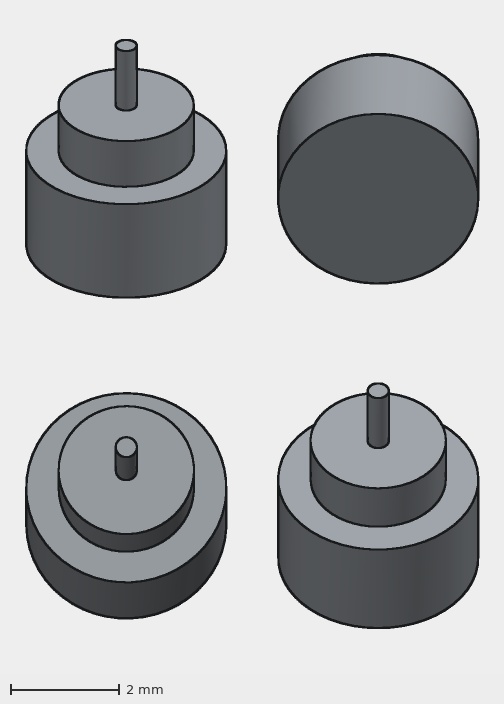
import cadquery as cq

total_height = 4.35
body_diameter = 3.7
body_height = 2.05
collar_diameter = 2.5
collar_height = 1.0
pin_diameter = 0.39
pin_height = total_height - body_height - collar_height


def add_cylinder(part, diameter, height):
    """Stack a centred cylinder on the top face of the part."""
    return part.faces(">Z").workplane().circle(diameter / 2).extrude(height)


body = cq.Workplane("XY").circle(body_diameter / 2).extrude(body_height)

body_with_collar = add_cylinder(body, collar_diameter, collar_height)
result = add_cylinder(body_with_collar, pin_diameter, pin_height)